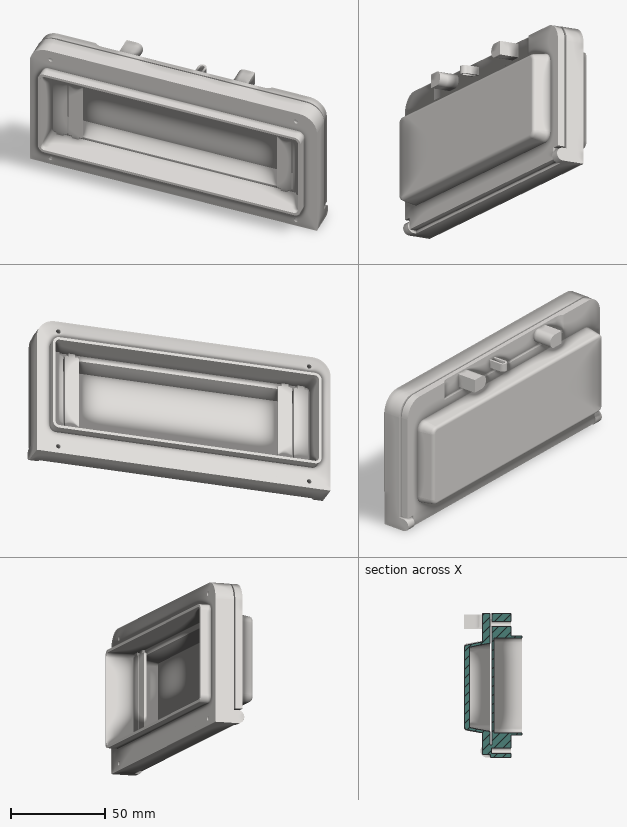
import cadquery as cq


width = 164.0
height = 76.8
depth = 31.0

rim_depth = 5.9
frame_thickness = 10.3
lid_gap = 1.0
lid_thickness = 4.1
lid_front = frame_thickness + lid_gap
lid_back = lid_front + lid_thickness
back = depth - rim_depth

frame_corner_radius = 10.2
rim_width = 149.9
rim_height = 53.0
rim_corner_radius = 3.6
rim_wall = 1.5
rim_center_z = height / 2
cavity_width = rim_width - 2 * rim_wall
cavity_height = rim_height - 2 * rim_wall

hole_diameter = 2.5
hole_x = 70.0
upper_hole_inset = 5.7
upper_hole_z = height - upper_hole_inset
lower_hole_z = 3.8

knuckle_width = 5.2
knuckle_height = 7.0
knuckle_back = 16.2
knuckle_clearance = 1.0
knuckle_radius = knuckle_height / 2

lid_side_inset = 0.5
lid_corner_radius = 10.0
lid_bottom = 1.6

dome_width = 146.6
dome_height = 48.9
dome_center_z = 37.4
dome_corner_radius = 5.0
dome_taper = 10.0
dome_skirt = 0.5
dome_edge_radius = 1.8
dome_wall = 1.6
dome_back_wall = 3.0
pocket_width = 145.0
pocket_height = 46.9

recess_width = 100.7
recess_depth = 1.6
recess_run_out = 4.0
recess_bottom = 66.5
recess_floor = lid_back - recess_depth

lug_center_x = 32.0
lug_width = 9.5
lug_bottom = 68.2
lug_height = 7.5
lug_round = 3.6
loop_center_x = 8.0
loop_width = 4.8
loop_wall = 1.1
loop_back = 23.5
loop_bottom = 69.2
loop_height = 4.5

bar_centers_x = (59.5, 68.4)
bar_width = 7.9
bar_height = 46.7
bar_thickness = 1.3
bar_corner_radius = 1.0
neck_width = 3.8


def facing_back(y, z=0.0):
    """Workplane at depth y, with extrusions going toward +Y and local Y along Z."""
    return cq.Workplane(cq.Plane(origin=(0, y, z), xDir=(-1, 0, 0), normal=(0, 1, 0)))


def box(x_size, y_min, y_max, z_min, z_max, x_center=0.0):
    """Block centered at x_center and spanning the given Y and Z limits."""
    block = cq.Workplane("XY").box(x_size, y_max - y_min, z_max - z_min)
    return block.translate((x_center, (y_min + y_max) / 2, (z_min + z_max) / 2))


def rounded_block(x_size, z_size, radius, y_min, y_max, z_center):
    """Block with its four Y-direction edges rounded."""
    block = box(x_size, y_min, y_max, z_center - z_size / 2, z_center + z_size / 2)
    return block.edges("|Y").fillet(radius)


def tapered_block(x_size, z_size, radius, y_min, y_max):
    """Rounded block, around the dome center, that narrows toward the back."""
    corners = cq.Sketch().rect(x_size, z_size).vertices().fillet(radius)
    plane = facing_back(y_min, dome_center_z)
    return plane.placeSketch(corners).extrude(y_max - y_min, taper=dome_taper)


def make_frame():
    plate = box(width, 0, frame_thickness, 0, height)
    plate = plate.edges("|Y and >Z").fillet(frame_corner_radius)
    rim = rounded_block(rim_width, rim_height, rim_corner_radius, -rim_depth, 0, rim_center_z)
    cavity = rounded_block(
        cavity_width, cavity_height, rim_corner_radius - rim_wall, -rim_depth, frame_thickness, rim_center_z
    )
    hole_points = [(side * hole_x, z) for side in (-1, 1) for z in (lower_hole_z, upper_hole_z)]
    holes = facing_back(0).pushPoints(hole_points).circle(hole_diameter / 2).extrude(frame_thickness)
    hinge_shelf = box(width, frame_thickness, lid_front, 0, knuckle_height)
    return plate.union(rim).cut(cavity).cut(holes).union(hinge_shelf)


def make_knuckle(side):
    """Round-backed hinge knuckle at one bottom corner of the frame."""
    round_center_y = knuckle_back - knuckle_radius
    knuckle = (
        cq.Workplane("YZ")
        .moveTo(0, 0)
        .lineTo(round_center_y, 0)
        .threePointArc((knuckle_back, knuckle_radius), (round_center_y, knuckle_height))
        .lineTo(0, knuckle_height)
        .close()
        .extrude(knuckle_width / 2, both=True)
    )
    return knuckle.translate((side * (width - knuckle_width) / 2, 0, 0))


def make_recess():
    """Cutter for the lid recess, whose ends run out along arcs tangent to its floor."""
    half = recess_width / 2
    flat = half - recess_run_out
    arc_radius = (recess_run_out**2 + recess_depth**2) / (2 * recess_depth)
    return (
        cq.Workplane("XY", origin=(0, 0, recess_bottom))
        .moveTo(-half, lid_back)
        .radiusArc((-flat, recess_floor), -arc_radius)
        .lineTo(flat, recess_floor)
        .radiusArc((half, lid_back), -arc_radius)
        .close()
        .extrude(height - recess_bottom)
    )


def make_lid():
    shoulder = knuckle_height + knuckle_clearance
    plate = box(width - 2 * lid_side_inset, lid_front, lid_back, shoulder, height)
    plate = plate.edges("|Y and >Z").fillet(lid_corner_radius)
    hinge_leaf = box(width - 2 * knuckle_width, lid_front, lid_back, lid_bottom, shoulder)
    skirt_back = lid_back + dome_skirt
    skirt = rounded_block(
        dome_width, dome_height, dome_corner_radius, lid_back, skirt_back, dome_center_z
    )
    dome = tapered_block(dome_width, dome_height, dome_corner_radius, skirt_back, back)
    dome = dome.faces(">Y").edges().fillet(dome_edge_radius)
    pocket = tapered_block(
        pocket_width, pocket_height, dome_corner_radius - dome_wall, lid_front, back - dome_back_wall
    )
    return plate.union(hinge_leaf).cut(make_recess()).union(skirt).union(dome).cut(pocket)


def make_lug(side):
    """Latch lug with its inner side rounded over."""
    lug = box(lug_width, recess_floor, back, lug_bottom, lug_bottom + lug_height, lug_center_x)
    lug = lug.edges("|Y and <X").fillet(lug_round)
    return lug if side > 0 else lug.mirror("YZ")


def make_loop():
    """Arched loop that rises from the frame, passes the lid and ends in a round crown."""
    crown_y = loop_back - loop_width / 2

    def arch(arch_width, y_start):
        leg = box(arch_width, y_start, crown_y, loop_bottom, loop_bottom + loop_height, loop_center_x)
        crown = (
            cq.Workplane("XY", origin=(loop_center_x, crown_y, loop_bottom))
            .circle(arch_width / 2)
            .extrude(loop_height)
        )
        return leg.union(crown)

    return arch(loop_width, frame_thickness).cut(arch(loop_width - 2 * loop_wall, frame_thickness))


def make_bar(x_center):
    """Clamping bar spanning the cavity, held by a narrow neck at each end."""
    front = frame_thickness - bar_thickness
    bar_bottom = rim_center_z - bar_height / 2
    bar = box(bar_width, front, frame_thickness, bar_bottom, bar_bottom + bar_height, x_center)
    bar = bar.edges("|Y and >Z").fillet(bar_corner_radius)
    neck_bottom = rim_center_z - cavity_height / 2
    neck = box(neck_width, front, frame_thickness, neck_bottom, neck_bottom + cavity_height, x_center)
    return bar.union(neck)


result = make_frame().union(make_lid()).union(make_loop())
for side in (-1, 1):
    result = result.union(make_knuckle(side)).union(make_lug(side))
    for bar_x in bar_centers_x:
        result = result.union(make_bar(side * bar_x))